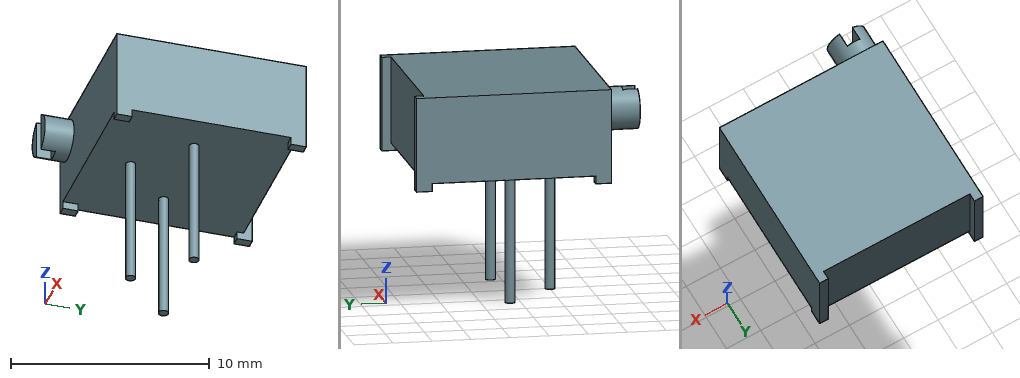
import cadquery as cq

housing_side = 9.53
housing_height = 4.44
half_side = housing_side / 2

post_width = 0.51
post_length = 0.8
post_drop = 0.4
rear_post_overhang = 0.46

pin_diameter = 0.51
pin_length = 6.86
pin_pitch = 2.54

screw_diameter = 2.19
screw_length = 1.52
screw_inset = 1.27
slot_width = 0.74
slot_depth = screw_length / 2


def make_post(side, y_front):
    """Full-height corner post on the left (side = -1) or right (side = 1)."""
    x_center = side * (half_side - post_width / 2)
    return (
        cq.Workplane("XY")
        .box(post_width, post_length, housing_height + post_drop, centered=(True, False, False))
        .translate((x_center, y_front, -post_drop))
    )


def make_pin(x, y):
    """Round terminal pin hanging from the underside of the housing."""
    return cq.Workplane("XY").center(x, y).circle(pin_diameter / 2).extrude(-pin_length)


def make_housing():
    """Housing with its four posts and three pins as one solid."""
    housing = cq.Workplane("XY").box(
        housing_side, housing_side, housing_height, centered=(True, True, False)
    )
    front_post_y = -half_side
    rear_post_y = half_side + rear_post_overhang - post_length
    for side in (-1, 1):
        for y_front in (front_post_y, rear_post_y):
            housing = housing.union(make_post(side, y_front), clean=False)

    for x, y in ((-pin_pitch, 0), (0, -pin_pitch), (pin_pitch, 0)):
        housing = housing.union(make_pin(x, y), clean=False)
    return housing


def make_screw():
    """Slotted screw head seated against the front face of the housing."""
    x_axis = -half_side + screw_inset
    z_axis = housing_height - screw_inset
    head = (
        cq.Workplane("XZ", origin=(x_axis, -half_side, z_axis))
        .circle(screw_diameter / 2)
        .extrude(screw_length)
    )
    slot = (
        cq.Workplane("XY")
        .box(slot_width, slot_depth, screw_diameter, centered=(True, False, True))
        .translate((x_axis, -half_side - screw_length, z_axis))
    )
    return head.cut(slot)


housing = make_housing()
screw = make_screw()

result = cq.Compound.makeCompound([housing.solids().val(), screw.solids().val()])